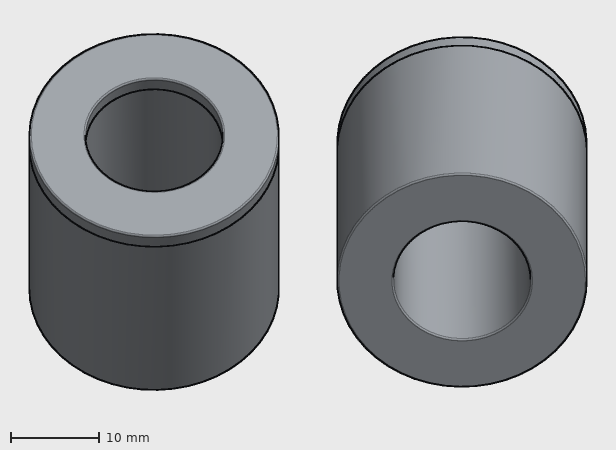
import cadquery as cq

total_height = 30.0
sleeve_outer_diameter = 28.3
sleeve_bore_diameter = 15.5

cap_height = 2.0
cap_outer_diameter = 28.25
cap_bore_diameter = 15.55

edge_radius = 0.2

sleeve_height = total_height - cap_height


def plain_ring(outer_diameter, bore_diameter, height, base_z):
    """Ring around the Z axis, standing on base_z."""
    return (
        cq.Workplane("XY", origin=(0, 0, base_z))
        .circle(outer_diameter / 2)
        .circle(bore_diameter / 2)
        .extrude(height)
    )


def make_sleeve():
    """Long lower ring with rounded bottom edges."""
    ring = plain_ring(sleeve_outer_diameter, sleeve_bore_diameter, sleeve_height, 0)
    return ring.faces("<Z").edges().fillet(edge_radius)


def make_cap():
    """Short upper ring with rounded top edges."""
    ring = plain_ring(cap_outer_diameter, cap_bore_diameter, cap_height, sleeve_height)
    return ring.faces(">Z").edges().fillet(edge_radius)


sleeve = make_sleeve()
cap = make_cap()

result = cq.Compound.makeCompound([sleeve.val(), cap.val()])